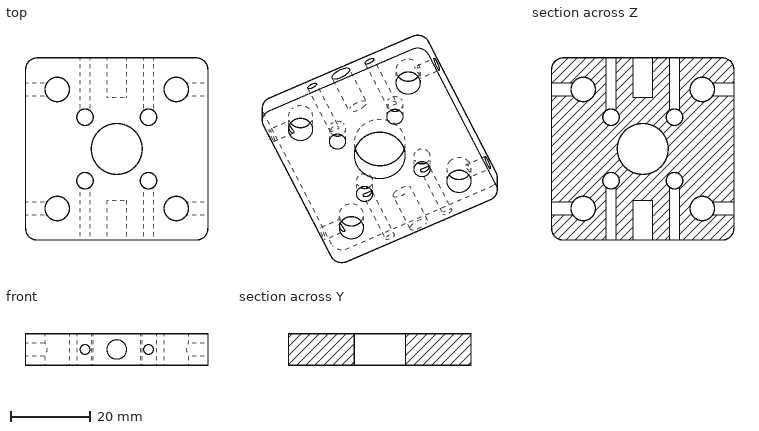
import cadquery as cq

plate_side = 46.0
plate_thickness = 8.0
corner_radius = 3.0

bore_diameter = 12.78
corner_hole_diameter = 6.1
corner_hole_offset = 15.0
inner_hole_diameter = 4.1
inner_hole_offset = 8.0

m6_hole_diameter = 4.917
m6_hole_depth = 10.0

m3_hole_diameter = 2.459

m4_hole_diameter = 3.242

half_side = plate_side / 2
mid_height = plate_thickness / 2
m3_hole_depth = half_side - inner_hole_offset
m4_hole_depth = half_side - corner_hole_offset


def square_pattern(offset):
    """Four points at the corners of a square centred on the plate."""
    return [(sx * offset, sy * offset) for sx in (-1, 1) for sy in (-1, 1)]


def vertical_holes(points, diameter):
    """Cylinders through the full thickness at the given points."""
    return cq.Workplane("XY").pushPoints(points).circle(diameter / 2).extrude(plate_thickness)


def y_edge_hole(side, x, diameter, depth):
    """Hole drilled inward from the -Y (side = -1) or +Y (side = 1) edge at mid height."""
    start = cq.Vector(x, side * half_side, mid_height)
    return cq.Solid.makeCylinder(diameter / 2, depth, start, cq.Vector(0, -side, 0))


def x_edge_hole(side, y, diameter, depth):
    """Hole drilled inward from the -X (side = -1) or +X (side = 1) edge at mid height."""
    start = cq.Vector(side * half_side, y, mid_height)
    return cq.Solid.makeCylinder(diameter / 2, depth, start, cq.Vector(-side, 0, 0))


plate = cq.Workplane("XY").rect(plate_side, plate_side).extrude(plate_thickness)
plate = plate.edges("|Z").fillet(corner_radius)

plate = plate.cut(vertical_holes([(0, 0)], bore_diameter))
plate = plate.cut(vertical_holes(square_pattern(corner_hole_offset), corner_hole_diameter))
plate = plate.cut(vertical_holes(square_pattern(inner_hole_offset), inner_hole_diameter))

for side in (-1, 1):
    plate = plate.cut(y_edge_hole(side, 0, m6_hole_diameter, m6_hole_depth))
    for x in (-inner_hole_offset, inner_hole_offset):
        plate = plate.cut(y_edge_hole(side, x, m3_hole_diameter, m3_hole_depth))
    for y in (-corner_hole_offset, corner_hole_offset):
        plate = plate.cut(x_edge_hole(side, y, m4_hole_diameter, m4_hole_depth))

result = plate